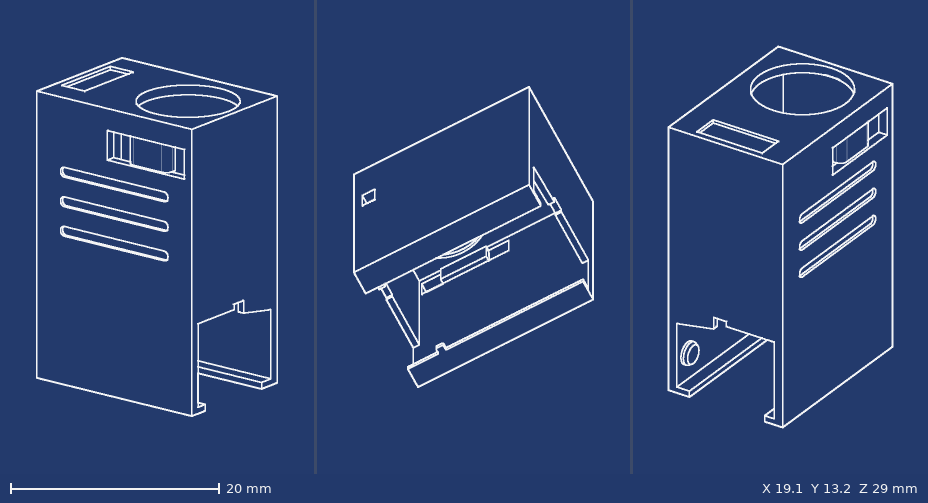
import cadquery as cq

LENGTH = 19.05
WIDTH = 13.2
HEIGHT = 29.0

SIDE_WALL = 1.0
END_WALL = 0.67
TOP_WALL = 1.0

LIP_THICKNESS = 0.67
FRONT_LIP_REACH = 2.1
BACK_LIP_REACH = 2.45

CATCH_LENGTH = 0.8
CATCH_REACH = 0.58
CATCH_START_X = 14.9
CATCH_ROUND = 0.15

PASSAGE_FRONT_Z = 9.1
STEP_TOP_Z = 9.65
STEP_FRONT_Y = 6.52
STEP_BACK_Y = 7.98
SLOPE_FRONT_Z = 8.38
SLOPE_BACK_Z = 7.65

OPENING_DIAMETER = 10.0
OPENING_X = 13.35

RECESS_LENGTH = 2.8
RECESS_WIDTH = 7.55
RECESS_X = 0.78
RECESS_Y = 2.87
RECESS_DEPTH = 0.35

WINDOW_LEFT_X = 8.67
WINDOW_RIGHT_X = 18.12
WINDOW_HEIGHT = 3.0
WINDOW_TOP_Z = HEIGHT - 2.23
BLOCK_LENGTH = 4.95
BLOCK_SETBACK = 0.32
BLOCK_ROUND = 0.75
BLOCK_DEPTH = 1.15

GROOVE_COUNT = 3
GROOVE_LENGTH = 13.2
GROOVE_WIDTH = 1.0
GROOVE_PITCH = 3.0
GROOVE_DEPTH = 0.32
GROOVE_CENTER_X = LENGTH / 2
TOP_GROOVE_Z = HEIGHT - 7.5

BACK_OPENING_LENGTH = 1.35
BACK_OPENING_TOP_Z = 21.52

PEG_RADIUS = 1.2
PEG_LENGTH = 0.65
PEG_X = 1.88
PEG_Z = 3.57
PEG_CHAMFER_LENGTH = 0.35
PEG_CHAMFER_INSET = 0.2

BACK_INNER_Y = WIDTH - SIDE_WALL


def box(x, y, z, length, width, height):
    """Box placed by its lower, front, left corner."""
    return cq.Workplane("XY").box(length, width, height, centered=False).translate((x, y, z))


def shell():
    """Outer block, hollowed from below and left open between the two bottom lips."""
    body = box(0, 0, 0, LENGTH, WIDTH, HEIGHT)
    cavity = box(
        END_WALL,
        SIDE_WALL,
        LIP_THICKNESS,
        LENGTH - 2 * END_WALL,
        WIDTH - 2 * SIDE_WALL,
        HEIGHT - TOP_WALL - LIP_THICKNESS,
    )
    lip_gap = WIDTH - FRONT_LIP_REACH - BACK_LIP_REACH
    bottom_gap = box(0, FRONT_LIP_REACH, 0, LENGTH, lip_gap, LIP_THICKNESS)
    return body.cut(cavity).cut(bottom_gap)


def end_passage():
    """Stepped and sloped outline that runs through both end walls above the lips."""
    outline = [
        (SIDE_WALL, LIP_THICKNESS),
        (SIDE_WALL, PASSAGE_FRONT_Z),
        (STEP_FRONT_Y, PASSAGE_FRONT_Z),
        (STEP_FRONT_Y, STEP_TOP_Z),
        (STEP_BACK_Y, STEP_TOP_Z),
        (STEP_BACK_Y, SLOPE_FRONT_Z),
        (BACK_INNER_Y, SLOPE_BACK_Z),
        (BACK_INNER_Y, LIP_THICKNESS),
    ]
    return cq.Workplane("YZ").polyline(outline).close().extrude(LENGTH)


def top_opening():
    """Round hole through the top wall."""
    return (
        cq.Workplane("XY", origin=(OPENING_X, WIDTH / 2, HEIGHT - TOP_WALL))
        .circle(OPENING_DIAMETER / 2)
        .extrude(TOP_WALL)
    )


def top_recess():
    """Shallow rectangular recess in the top face."""
    return box(RECESS_X, RECESS_Y, HEIGHT - RECESS_DEPTH, RECESS_LENGTH, RECESS_WIDTH, RECESS_DEPTH)


def front_window():
    """Rectangular window through the front wall."""
    return box(
        WINDOW_LEFT_X,
        0,
        WINDOW_TOP_Z - WINDOW_HEIGHT,
        WINDOW_RIGHT_X - WINDOW_LEFT_X,
        SIDE_WALL,
        WINDOW_HEIGHT,
    )


def window_block():
    """Block on the round opening's centre line in X, with its front corners rounded."""
    block = box(
        OPENING_X - BLOCK_LENGTH / 2,
        BLOCK_SETBACK,
        WINDOW_TOP_Z - WINDOW_HEIGHT,
        BLOCK_LENGTH,
        BLOCK_DEPTH,
        WINDOW_HEIGHT,
    )
    return block.faces("<Y").edges("|Z").fillet(BLOCK_ROUND)


def front_grooves():
    """Evenly spaced round-ended grooves in the front face."""
    centers = [(GROOVE_CENTER_X, TOP_GROOVE_Z - i * GROOVE_PITCH) for i in range(GROOVE_COUNT)]
    return (
        cq.Workplane("XZ")
        .pushPoints(centers)
        .slot2D(GROOVE_LENGTH, GROOVE_WIDTH)
        .extrude(-GROOVE_DEPTH)
    )


def back_opening():
    """Narrow opening through the back wall, as tall as the front window."""
    return box(
        WINDOW_RIGHT_X - BACK_OPENING_LENGTH,
        BACK_INNER_Y,
        BACK_OPENING_TOP_Z - WINDOW_HEIGHT,
        BACK_OPENING_LENGTH,
        SIDE_WALL,
        WINDOW_HEIGHT,
    )


def peg():
    """Round peg pointing forward from the back wall, with a chamfered tip."""
    tip_radius = PEG_RADIUS - PEG_CHAMFER_INSET
    half_section = [
        (0, 0),
        (PEG_RADIUS, 0),
        (PEG_RADIUS, PEG_LENGTH - PEG_CHAMFER_LENGTH),
        (tip_radius, PEG_LENGTH),
        (0, PEG_LENGTH),
    ]
    return (
        cq.Workplane("XY")
        .polyline(half_section)
        .close()
        .revolve(360, (0, 0, 0), (0, 1, 0))
        .rotate((0, 0, 0), (1, 0, 0), 180)
        .translate((PEG_X, BACK_INNER_Y, PEG_Z))
    )


def lip_catch():
    """Small nub on the edge of the front lip, with its two free corners rounded."""
    nub = box(CATCH_START_X, FRONT_LIP_REACH, 0, CATCH_LENGTH, CATCH_REACH, LIP_THICKNESS)
    return nub.faces(">Y").edges("|Z").fillet(CATCH_ROUND)


result = (
    shell()
    .cut(end_passage())
    .cut(top_opening())
    .cut(top_recess())
    .cut(front_window())
    .cut(front_grooves())
    .cut(back_opening())
    .union(window_block())
    .union(peg())
    .union(lip_catch())
)